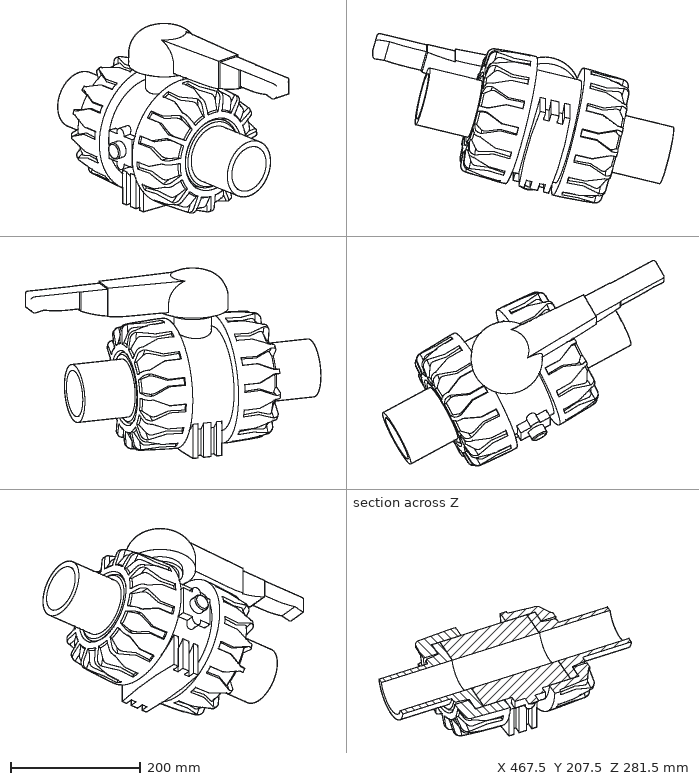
import cadquery as cq
import math


bore_radius = 36.0
pipe_radius = 45.5
pipe_end = 195.5
collar_root_radius = 58.0
collar_radius = 55.0
collar_chamfer = 3.0
collar_end = 112.0
connector_flange_end = 89.0

body_radius = 82.0
body_end = 75.0
stem_radius = 29.0
stem_top = 109.5
stem_collar_radius = 35.0
stem_collar_top = 117.8

foot_bottom = -105.0
foot_half_length = 27.5
foot_end_half_length = 24.0
foot_half_depth = 65.0
foot_groove_depth = 12.0
foot_groove_width = 9.0
foot_groove_offset = 10.7

pad_half_length = 26.0
pad_half_height = 23.5
pad_face = 91.5
pad_tab_radius = 8.0
pad_tab_reach = 34.0
pad_boss_radius = 13.0
pad_boss_face = 106.0
pad_boss_chamfer = 2.0

nut_start = 38.0
nut_end = 113.0
nut_rim_inner_radius = 58.5
nut_rim_outer_radius = 69.0
nut_band_radius = 101.5
nut_band_end = 48.5
rib_count = 15
rib_pitch = 360 / rib_count
rib_width = 29.5
rib_taper_start = 75.0
rib_tip_start = 102.0
rib_tip_width = 5.5
rib_draft = 2.5
cutter_margin = 4.5
rib_nose_start_radius = 98.5
rib_nose_end = 111.5
rib_nose_end_radius = 89.5
groove_start_radius = 97.0
groove_end = 93.5
groove_end_radius = 93.0
pocket_wall_start = 101.0
pocket_wall_start_radius = 87.5
pocket_wall_end = 110.0
pocket_wall_end_radius = 71.0

dome_radius = 55.0
dome_straight_top = 134.5
dome_top = 176.5
dome_flat_radius = 13.5
lever_top = 171.0
lever_bottom = 122.5
lever_flat_end = 117.0
lever_root_half_width = 26.0
lever_root_start = 18.5
shoulder = 147.5
shoulder_half_width = 20.0
neck_top = 168.5
neck_half_width = 17.8
neck_end = 191.5
neck_end_half_width = 17.5
neck_end_bottom = 137.5
grip_start = 193.5
grip_half_width = 16.5
grip_bottom = 141.0
grip_flat_end = 215.0
grip_hollow = 252.5
grip_hollow_bottom = 145.5
grip_end = 272.0
grip_edge_radius = 4.5


def axial_disc(radius, start, end):
    """Cylinder about the pipe axis between two X positions."""
    return cq.Workplane("YZ").workplane(offset=start).circle(radius).extrude(end - start)


def upright_disc(radius, bottom, top):
    """Cylinder about the Z axis between two heights."""
    return cq.Workplane("XY").workplane(offset=bottom).circle(radius).extrude(top - bottom)


def revolve_about_pipe_axis(profile):
    """Close the half section and turn it about X."""
    return profile.close().revolve(360, (0, 0, 0), (1, 0, 0))


def make_foot():
    """Block with bowed ends and two upright grooves in each long face."""
    foot = (
        cq.Workplane("XY")
        .workplane(offset=foot_bottom)
        .moveTo(-foot_end_half_length, -foot_half_depth)
        .lineTo(foot_end_half_length, -foot_half_depth)
        .threePointArc((foot_half_length, 0), (foot_end_half_length, foot_half_depth))
        .lineTo(-foot_end_half_length, foot_half_depth)
        .threePointArc((-foot_half_length, 0), (-foot_end_half_length, -foot_half_depth))
        .close()
        .extrude(-foot_bottom)
    )
    groove_middle = foot_half_depth - foot_groove_depth / 2
    grooves = (
        cq.Workplane("XY")
        .workplane(offset=foot_bottom)
        .rarray(2 * foot_groove_offset, 2 * groove_middle, 2, 2)
        .rect(foot_groove_width, foot_groove_depth)
        .extrude(-foot_bottom)
    )
    return foot.cut(grooves)


def make_side_pad():
    plane = cq.Workplane("XZ")
    plate = plane.rect(2 * pad_half_length, 2 * pad_half_height).extrude(pad_face)
    tabs = plane.slot2D(2 * pad_tab_reach, 2 * pad_tab_radius, 90).extrude(pad_face)
    boss = plane.circle(pad_boss_radius).extrude(pad_boss_face)
    boss = boss.faces("<Y").chamfer(pad_boss_chamfer)
    return plate.union(tabs).union(boss)


def make_body():
    """Barrel with the stem, the mounting foot and the side pad."""
    body = axial_disc(body_radius, -body_end, body_end)
    body = body.union(upright_disc(stem_radius, 0, stem_top))
    body = body.union(upright_disc(stem_collar_radius, stem_top, stem_collar_top))
    body = body.union(make_foot()).union(make_side_pad())
    return body.cut(axial_disc(bore_radius, -body_end, body_end))


def make_connector():
    """Pipe end for the +X side, with the flange and tapered collar inside its nut."""
    profile = (
        cq.Workplane("XY")
        .moveTo(body_end, bore_radius)
        .lineTo(body_end, body_radius)
        .lineTo(connector_flange_end, body_radius)
        .lineTo(connector_flange_end, collar_root_radius)
        .lineTo(collar_end - collar_chamfer, collar_radius)
        .lineTo(collar_end, collar_radius - collar_chamfer)
        .lineTo(collar_end, pipe_radius)
        .lineTo(pipe_end, pipe_radius)
        .lineTo(pipe_end, bore_radius)
    )
    return revolve_about_pipe_axis(profile)


def make_nut_envelope():
    """Nut without its grooves: the outer shape that the ribs reach."""
    profile = (
        cq.Workplane("XY")
        .moveTo(nut_start, body_radius)
        .lineTo(nut_start, nut_band_radius)
        .lineTo(nut_band_end, nut_band_radius)
        .lineTo(rib_tip_start, rib_nose_start_radius)
        .tangentArcPoint((rib_nose_end, rib_nose_end_radius), relative=False)
        .lineTo(nut_end, nut_rim_outer_radius)
        .lineTo(nut_end, nut_rim_inner_radius)
        .lineTo(connector_flange_end, nut_rim_inner_radius)
        .lineTo(connector_flange_end, body_radius)
    )
    return revolve_about_pipe_axis(profile)


def make_groove_sector():
    """Space above the groove floors and the front pocket walls, over one rib pitch."""
    ring_radius = nut_band_radius + cutter_margin
    ring_end = nut_end + cutter_margin
    profile = (
        cq.Workplane("XY")
        .moveTo(nut_band_end, ring_radius)
        .lineTo(nut_band_end, groove_start_radius)
        .lineTo(groove_end, groove_end_radius)
        .tangentArcPoint((pocket_wall_start, pocket_wall_start_radius), relative=False)
        .lineTo(pocket_wall_end, pocket_wall_end_radius)
        .lineTo(nut_end, nut_rim_outer_radius)
        .lineTo(ring_end, nut_rim_outer_radius)
        .lineTo(ring_end, ring_radius)
    )
    sector = profile.close().revolve(rib_pitch, (0, 0, 0), (1, 0, 0))
    return sector.rotate((0, 0, 0), (1, 0, 0), 90 - rib_pitch / 2)


def make_rib_blank():
    """Rib in its plan shape, narrow at the nose, widening inward with a draft."""
    half_width = rib_width / 2
    half_tip = rib_tip_width / 2
    top_radius = nut_band_radius + cutter_margin
    root_radius = nut_rim_outer_radius - cutter_margin
    blank_end = nut_end + 2 * cutter_margin
    outline = (
        cq.Workplane("XY")
        .workplane(offset=top_radius)
        .moveTo(nut_start, -half_width)
        .lineTo(rib_taper_start, -half_width)
        .lineTo(rib_tip_start, -half_tip)
        .lineTo(blank_end, -half_tip)
        .lineTo(blank_end, half_tip)
        .lineTo(rib_tip_start, half_tip)
        .lineTo(rib_taper_start, half_width)
        .lineTo(nut_start, half_width)
        .close()
    )
    return outline.extrude(root_radius - top_radius, taper=-rib_draft)


def make_gap():
    """Space between two neighbouring ribs, centred at the top of the nut."""
    half_pitch = rib_pitch / 2
    gap = make_groove_sector()
    rib = make_rib_blank()
    for angle in (-half_pitch, half_pitch):
        gap = gap.cut(rib.rotate((0, 0, 0), (1, 0, 0), angle))
    return gap


def make_nut():
    """Union nut for the +X side, with a gap between two ribs at the top."""
    nut = make_nut_envelope()
    gap = make_gap()
    for index in range(rib_count):
        nut = nut.cut(gap.rotate((0, 0, 0), (1, 0, 0), index * rib_pitch))
    return nut


def make_dome():
    diagonal = math.sqrt(0.5)
    arc_width = dome_radius - dome_flat_radius
    arc_height = dome_top - dome_straight_top
    arc_middle = (dome_flat_radius + arc_width * diagonal, dome_straight_top + arc_height * diagonal)
    profile = (
        cq.Workplane("XZ")
        .moveTo(0, stem_collar_top)
        .lineTo(dome_radius, stem_collar_top)
        .lineTo(dome_radius, dome_straight_top)
        .threePointArc(arc_middle, (dome_flat_radius, dome_top))
        .lineTo(0, dome_top)
        .close()
    )
    return profile.revolve(360, (0, 0, 0), (0, 1, 0))


def make_lever():
    """Side outline crossed with the plan outline."""
    side = (
        cq.Workplane("XZ")
        .moveTo(lever_root_start, lever_bottom)
        .lineTo(lever_flat_end, lever_bottom)
        .tangentArcPoint((neck_end, neck_end_bottom), relative=False)
        .lineTo(grip_start, grip_bottom)
        .lineTo(grip_flat_end, grip_bottom)
        .tangentArcPoint((grip_hollow, grip_hollow_bottom), relative=False)
        .lineTo(grip_end, grip_bottom)
        .lineTo(grip_end, neck_top)
        .lineTo(shoulder, neck_top)
        .lineTo(shoulder, lever_top)
        .lineTo(lever_root_start, lever_top)
        .close()
        .extrude(lever_root_half_width, both=True)
    )
    half_outline = [
        (lever_root_start, lever_root_half_width),
        (shoulder, shoulder_half_width),
        (shoulder, neck_half_width),
        (neck_end, neck_end_half_width),
        (grip_start, grip_half_width),
        (grip_end, grip_half_width),
    ]
    mirrored = [(x, -y) for x, y in reversed(half_outline)]
    plan = cq.Workplane("XY").polyline(half_outline + mirrored).close().extrude(dome_top)
    return side.intersect(plan).faces(">X").edges().fillet(grip_edge_radius)


def make_handle():
    return make_dome().union(make_lever())


def make_pair(solid):
    """The +X part and its copy turned half a turn about Y onto the -X side."""
    return [solid, solid.rotate((0, 0, 0), (0, 1, 0), 180)]


body = make_body()
handle = make_handle()
connectors = make_pair(make_connector())
nuts = make_pair(make_nut())

result = cq.Compound.makeCompound([
    body.val(),
    handle.val(),
    *[connector.val() for connector in connectors],
    *[nut.val() for nut in nuts],
])